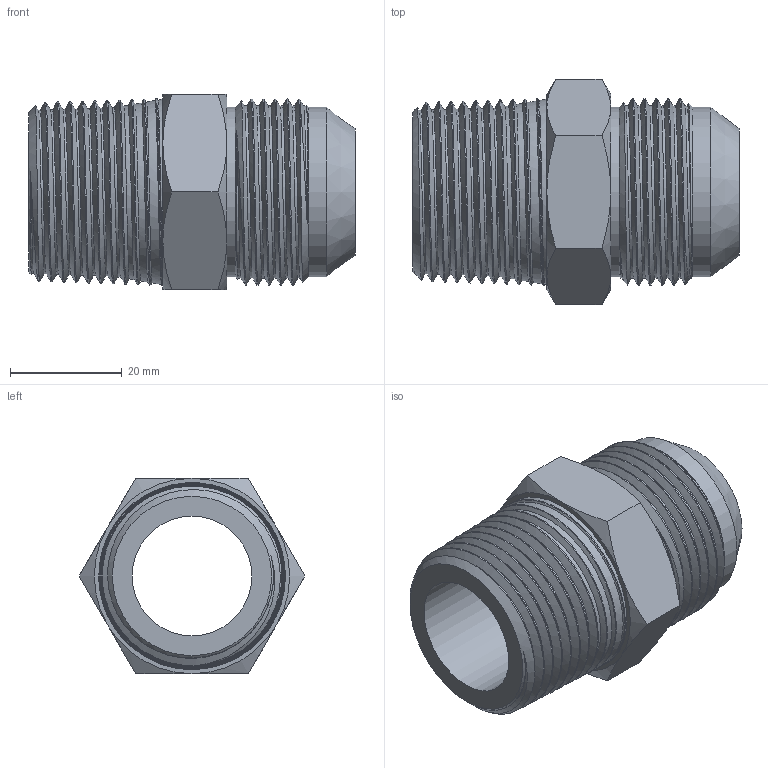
import cadquery as cq
import math


total_length = 58.42
hex_start = 24.0
hex_width = 11.43
hex_end = hex_start + hex_width
straight_thread_start = 36.9
straight_thread_end = 50.1

bore_diameter = 21.4
across_flats = 34.925
across_corners = across_flats / math.cos(math.radians(30))
hex_chamfer_angle = 30.0

body_radius = 15.13
nose_end_radius = 11.28
flare_angle = 37.0
flare_length = (body_radius - nose_end_radius) / math.tan(math.radians(flare_angle))
flare_start = total_length - flare_length

pipe_pitch = 25.4 / 11.5
pipe_slope = 1 / 32
pipe_crest_radius = 15.97
pipe_thread_depth = 1.4
pipe_groove_position = 0.77
pipe_face_radius = 14.25
runout_start = 15.2
runout_end_radius = 16.6

straight_pitch = 25.4 / 12
straight_crest_radius = 16.67
straight_thread_depth = 1.25
straight_groove_position = 37.75

flank_slope = math.tan(math.radians(30))
crest_flat = 0.2

groove_clearance = 0.08
envelope_margin = 1.5
blank_overrun = 6.0


def revolve_about_x(points):
    """Solid of revolution about X from (x, radius) outline points."""
    return cq.Workplane("XY").polyline(points).close().revolve(360, (0, 0, 0), (1, 0, 0))


def thread_groove(pitch, depth, crest_radius, position, end, slope=0.0):
    """Right-hand helical groove along X.

    position is where the groove crosses the -Z side; crest_radius is the crest size at X = 0.
    The helix starts one pitch before that position and runs one pitch past end.
    """
    start = position - pitch
    height = end + pitch - start
    start_radius = crest_radius + slope * start
    root_radius = start_radius - depth
    outer_radius = start_radius + groove_clearance
    outer_half = (pitch - crest_flat) / 2 + groove_clearance * flank_slope
    root_half = outer_half - (outer_radius - root_radius) * flank_slope

    if slope:
        path = cq.Wire.makeHelix(pitch, height, start_radius, angle=math.degrees(math.atan(slope)))
    else:
        path = cq.Wire.makeHelix(pitch, height, start_radius)
    groove = (
        cq.Workplane("XZ")
        .polyline([
            (root_radius, -root_half),
            (outer_radius, -outer_half),
            (outer_radius, outer_half),
            (root_radius, root_half),
        ])
        .close()
        .sweep(cq.Workplane(path), isFrenet=True)
    )
    return groove.rotate((0, 0, 0), (0, 1, 0), 90).translate((start, 0, 0))


def pipe_end():
    """Tapered threaded end with a 45 degree lead chamfer and a thread run-out cone."""
    hex_crest_radius = pipe_crest_radius + pipe_slope * hex_start
    blank_end = hex_start + blank_overrun
    blank = revolve_about_x([
        (-blank_overrun, 0),
        (-blank_overrun, pipe_crest_radius - pipe_slope * blank_overrun),
        (blank_end, pipe_crest_radius + pipe_slope * blank_end),
        (blank_end, 0),
    ])
    groove = thread_groove(
        pipe_pitch, pipe_thread_depth, pipe_crest_radius, pipe_groove_position, hex_start, pipe_slope
    )
    clear_radius = hex_crest_radius + envelope_margin
    envelope = revolve_about_x([
        (0, 0),
        (0, pipe_face_radius),
        (clear_radius - pipe_face_radius, clear_radius),
        (hex_start, clear_radius),
        (hex_start, 0),
    ])
    runout_start_crest = pipe_crest_radius + pipe_slope * runout_start
    runout = revolve_about_x([
        (runout_start, 0),
        (runout_start, runout_start_crest - pipe_thread_depth),
        (hex_start, runout_end_radius),
        (hex_start, 0),
    ])
    return blank.cut(groove).intersect(envelope).union(runout)


def hexagon():
    """Hexagon with corners on Y, both end faces chamfered down to the flats."""
    prism = (
        cq.Workplane("YZ")
        .polygon(6, across_corners)
        .extrude(hex_width)
        .translate((hex_start, 0, 0))
    )
    face_radius = across_flats / 2
    corner_radius = across_corners / 2
    setback = (corner_radius - face_radius) * math.tan(math.radians(hex_chamfer_angle))
    envelope = revolve_about_x([
        (hex_start, 0),
        (hex_start, face_radius),
        (hex_start + setback, corner_radius),
        (hex_end - setback, corner_radius),
        (hex_end, face_radius),
        (hex_end, 0),
    ])
    return prism.intersect(envelope)


def straight_thread():
    """Straight threaded band with 45 degree chamfers at both ends."""
    blank_start = straight_thread_start - blank_overrun
    blank_end = straight_thread_end + blank_overrun
    blank = revolve_about_x([
        (blank_start, 0),
        (blank_start, straight_crest_radius),
        (blank_end, straight_crest_radius),
        (blank_end, 0),
    ])
    groove = thread_groove(
        straight_pitch,
        straight_thread_depth,
        straight_crest_radius,
        straight_groove_position,
        straight_thread_end,
    )
    clear_radius = straight_crest_radius + envelope_margin
    chamfer = clear_radius - body_radius
    envelope = revolve_about_x([
        (straight_thread_start, 0),
        (straight_thread_start, body_radius),
        (straight_thread_start + chamfer, clear_radius),
        (straight_thread_end - chamfer, clear_radius),
        (straight_thread_end, body_radius),
        (straight_thread_end, 0),
    ])
    return blank.cut(groove).intersect(envelope)


def flare_end():
    """Plain cylinder from the hexagon through the straight thread to the flare nose."""
    return revolve_about_x([
        (hex_end, 0),
        (hex_end, body_radius),
        (flare_start, body_radius),
        (total_length, nose_end_radius),
        (total_length, 0),
    ])


def bore():
    """Straight through bore."""
    return cq.Workplane("YZ").circle(bore_diameter / 2).extrude(total_length)


result = (
    pipe_end()
    .union(hexagon())
    .union(flare_end())
    .union(straight_thread())
    .cut(bore())
)